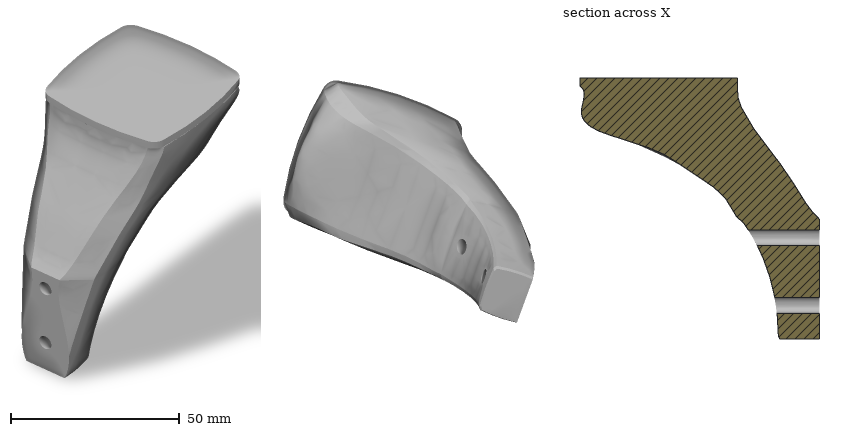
import cadquery as cq

HEIGHT = 77.55
DEPTH = 71.2
PAD_SIZE = 46.8
PAD_THICKNESS = 2.5
PAD_CORNER_RADIUS = 4.3
PAD_BOW = 2.3

FOOT_BEVEL_HEIGHT = 1.0
FOOT_BEVEL_INSET = 0.5
FOOT_DEPTH = 12.3
HOLE_DIAMETER = 4.5
HOLE_HEIGHTS = (10.0, 30.1)

HALF_PAD = PAD_SIZE / 2
PAD_CENTER_Y = DEPTH - HALF_PAD
PAD_BACK_Y = DEPTH - PAD_SIZE
PAD_BOTTOM = HEIGHT - PAD_THICKNESS

ARM_SECTIONS = [
    dict(back=(PAD_BACK_Y, PAD_BOTTOM), under=(DEPTH, PAD_BOTTOM),
         panel=(18.3, 0.04), crease=(21.9, 0.11), side=HALF_PAD,
         corner=(21.9, 0.89), belly=(18.3, 0.96)),
    dict(back=(23.8, 70.6), under=(70.6, 69.0),
         panel=(17.4, 0.025), crease=(21.2, 0.09), side=22.5,
         corner=(21.1, 0.86), belly=(17.4, 0.94)),
    dict(back=(21.4, 65.5), under=(67.9, 63.0),
         panel=(15.9, 0.015), crease=(19.85, 0.1), side=21.1,
         corner=(19.4, 0.81), belly=(16.3, 0.9)),
    dict(back=(17.7, 59.9), under=(57.3, 58.85),
         panel=(13.6, 0.02), crease=(18.8, 0.15), side=19.85,
         corner=(18.6, 0.93), belly=(15.9, 0.98)),
    dict(back=(10.1, 49.85), under=(40.3, 51.0),
         panel=(10.2, 0.01), crease=(16.6, 0.2), side=17.6,
         corner=(16.4, 0.95), belly=(14.6, 0.99)),
    dict(back=(6.75, 44.7), under=(33.3, 46.4),
         panel=(8.7, 0.01), crease=(15.35, 0.225), side=16.3,
         corner=(15.3, 0.95), belly=(13.6, 0.99)),
    dict(back=(3.3, 39.4), under=(27.0, 40.3),
         panel=(7.0, 0.01), crease=(14.1, 0.25), side=15.0,
         corner=(14.2, 0.95), belly=(12.7, 0.99)),
    dict(back=(0.0, 35.6), under=(22.65, 34.5),
         panel=(5.3, 0.0), crease=(13.1, 0.29), side=13.65,
         corner=(13.0, 0.95), belly=(11.6, 0.99)),
]
LEG_SECTIONS = [
    ARM_SECTIONS[-1],
    dict(back=(0.0, 23.3), under=(16.5, 23.3),
         panel=(6.0, 0.0), crease=(11.1, 0.2), side=11.5,
         corner=(10.9, 0.95), belly=(9.9, 0.98)),
    dict(back=(0.0, 9.8), under=(12.95, 9.8),
         panel=(8.8, 0.0), crease=(8.9, 0.02), side=9.15,
         corner=(8.7, 0.94), belly=(7.7, 0.98)),
    dict(back=(0.0, FOOT_BEVEL_HEIGHT), under=(FOOT_DEPTH, FOOT_BEVEL_HEIGHT),
         panel=(7.5, 0.0), crease=(7.6, 0.01), side=7.8,
         corner=(7.4, 0.93), belly=(6.35, 0.98)),
]
FOOT_END = dict(
    back=(0.0, 0.0), under=(FOOT_DEPTH - FOOT_BEVEL_INSET, 0.0),
    panel=(7.5 - FOOT_BEVEL_INSET, 0.0), crease=(7.6 - FOOT_BEVEL_INSET, 0.01), side=7.8 - FOOT_BEVEL_INSET,
    corner=(7.4 - FOOT_BEVEL_INSET, 0.93), belly=(6.35 - FOOT_BEVEL_INSET, 0.98))
SIDE_MIDDLE = 0.5


def section_wire(section):
    """Closed outline of one body section: bowed back, sides and underside joined by bevels."""
    back_y, back_z = section["back"]
    under_y, under_z = section["under"]

    def point(x, depth):
        y = back_y + depth * (under_y - back_y)
        z = back_z + depth * (under_z - back_z)
        return cq.Vector(x, y, z)

    def pair(name):
        half_width, depth = section[name]
        return point(half_width, depth), point(-half_width, depth)

    panel_right, panel_left = pair("panel")
    crease_right, crease_left = pair("crease")
    corner_right, corner_left = pair("corner")
    belly_right, belly_left = pair("belly")
    side_right = point(section["side"], SIDE_MIDDLE)
    side_left = point(-section["side"], SIDE_MIDDLE)

    if section["panel"][1] > 0:
        back_edge = cq.Edge.makeThreePointArc(panel_left, point(0, 0), panel_right)
    else:
        back_edge = cq.Edge.makeLine(panel_left, panel_right)
    return cq.Wire.assembleEdges([
        back_edge,
        cq.Edge.makeLine(panel_right, crease_right),
        cq.Edge.makeThreePointArc(crease_right, side_right, corner_right),
        cq.Edge.makeLine(corner_right, belly_right),
        cq.Edge.makeThreePointArc(belly_right, point(0, 1), belly_left),
        cq.Edge.makeLine(belly_left, corner_left),
        cq.Edge.makeThreePointArc(corner_left, side_left, crease_left),
        cq.Edge.makeLine(crease_left, panel_left),
    ])


def make_body():
    """Curved arm below the pad, leg along the mounting face and beveled foot, joined end to end."""
    arm = cq.Solid.makeLoft([section_wire(section) for section in ARM_SECTIONS])
    leg = cq.Solid.makeLoft([section_wire(section) for section in LEG_SECTIONS])
    foot = cq.Solid.makeLoft([section_wire(LEG_SECTIONS[-1]), section_wire(FOOT_END)], True)
    return cq.Workplane(obj=arm.fuse(leg, foot))


def make_pad():
    """Square top pad with bowed sides and rounded corners."""
    corner = HALF_PAD - PAD_BOW
    return (
        cq.Workplane("XY", origin=(0, PAD_CENTER_Y, PAD_BOTTOM))
        .moveTo(-corner, -corner)
        .threePointArc((0, -HALF_PAD), (corner, -corner))
        .threePointArc((HALF_PAD, 0), (corner, corner))
        .threePointArc((0, HALF_PAD), (-corner, corner))
        .threePointArc((-HALF_PAD, 0), (-corner, -corner))
        .close()
        .extrude(PAD_THICKNESS)
        .edges("|Z")
        .fillet(PAD_CORNER_RADIUS)
    )


def make_holes():
    """Screw holes running through the arm from the mounting face."""
    return (
        cq.Workplane("XZ")
        .pushPoints([(0, height) for height in HOLE_HEIGHTS])
        .circle(HOLE_DIAMETER / 2)
        .extrude(-DEPTH)
    )


result = make_body().union(make_pad()).cut(make_holes())